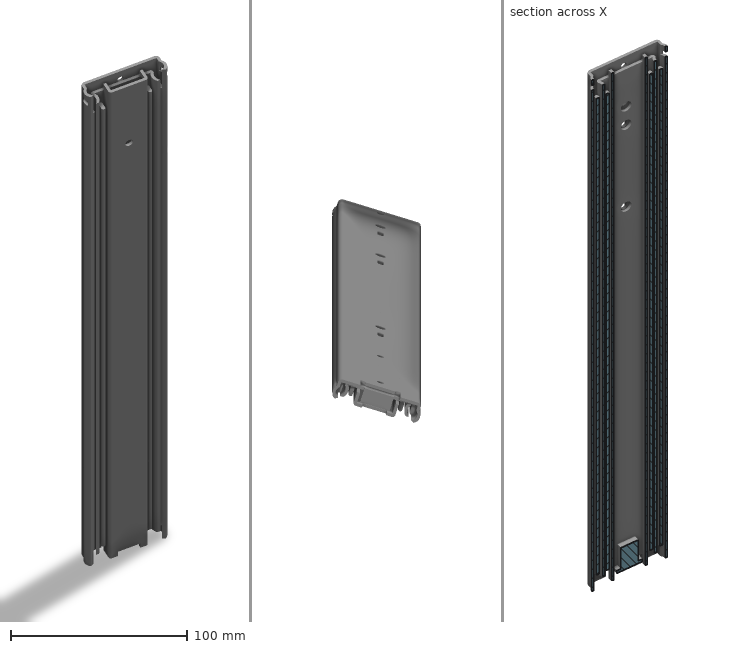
import cadquery as cq


length = 400.0
depth = 13.0
half_width = 26.0
sheet = 1.8

race_bulge = 1.4
wall_y = half_width - race_bulge
corner_radius = 2.5
race_start_x = 5.0
race_mid_x = 8.0
race_end_x = 12.0
lip_y = 23.5

group_heights = (365.0, 301.0, 141.0)
round_hole_diameter = 6.0
slot_drop = 16.0
slot_width = 3.5
slot_length = 8.5
pilot_heights = (393.0, 77.0, 19.5)
pilot_diameter = 4.0

window_bottom = 392.0
window_height = 3.5
window_end_x = 11.0

notch_half_width = 12.0
notch_height = 9.0
relief_radius = 1.5

middle_bottom = 7.5
middle_top = 392.5
middle_x = 2.5
middle_y = 19.5
middle_corner_radius = 1.5
race_hollow = 1.0
middle_race_y = middle_y - race_hollow
middle_lip_x = 11.5
middle_lip_y = 20.5
middle_bevel = 1.4
middle_hole_heights = (363.0, 349.0, 285.0)
middle_hole_diameter = 7.0

inner_bottom = 1.0
inner_top = 398.5
inner_x = 5.0
inner_y = 12.5
inner_radius = 1.5
inner_hole_height = 350.0
inner_hole_diameter = 5.0
inner_notch_half_width = 7.0
inner_notch_height = 5.0

retainer_bottom = 11.0
retainer_top = 384.0
retainer_span = 5.5
retainer_thickness = 2.5
outer_retainer_y = 21.5
inner_retainer_y = 15.0

stop_bottom = 5.0
stop_top = 24.0
stop_base_half_width = 9.0
stop_half_width = 6.0
stop_end_x = 11.0


def box(x_range, y_range, z_range):
    """Axis-aligned block from three (low, high) pairs."""
    sizes = [high - low for low, high in (x_range, y_range, z_range)]
    corner = (x_range[0], y_range[0], z_range[0])
    return cq.Workplane("XY").box(*sizes, centered=False).translate(corner)


def extrude_mirrored(half_profile, bottom, top):
    """Extrude a +Y half profile from bottom to top and join its mirror image."""
    half = half_profile.close().extrude(top - bottom).translate((0, 0, bottom))
    return half.union(half.mirror("XZ")).clean()


def web_hole(diameter, height):
    """Round cutter along X through the full depth of the slide."""
    return cq.Workplane("YZ").center(0, height).circle(diameter / 2).extrude(depth)


def web_slot(height):
    """Upright slot cutter along X."""
    return cq.Workplane("YZ").center(0, height).slot2D(slot_length, slot_width, 90).extrude(sheet)


def outer_profile():
    """Half of the outer channel: web, side wall and outward bulging ball race."""
    bend = corner_radius * (1 - 0.5**0.5)
    return (
        cq.Workplane("XY")
        .lineTo(0, wall_y - corner_radius)
        .threePointArc((bend, wall_y - bend), (corner_radius, wall_y))
        .lineTo(race_start_x, wall_y)
        .threePointArc((race_mid_x, half_width), (race_end_x, lip_y))
        .lineTo(race_end_x - sheet / 2, lip_y - sheet)
        .threePointArc((race_mid_x, half_width - sheet), (race_start_x, wall_y - sheet))
        .lineTo(sheet, wall_y - sheet)
        .lineTo(sheet, 0)
    )


def release_notch():
    """End notch with round reliefs at its two upper corners."""
    notch = box((0, sheet), (-notch_half_width, notch_half_width), (0, notch_height))
    for side in (-1, 1):
        relief_y = side * (notch_half_width - relief_radius)
        relief = cq.Workplane("YZ").center(relief_y, notch_height).circle(relief_radius).extrude(sheet)
        notch = notch.union(relief)
    return notch


def wall_windows():
    """Cutter that opens both ball races, passing beyond the sides of the slide."""
    return box(
        (race_start_x, window_end_x),
        (-2 * half_width, 2 * half_width),
        (window_bottom, window_bottom + window_height),
    )


def make_outer_member():
    member = extrude_mirrored(outer_profile(), 0, length)
    for height in group_heights:
        member = member.cut(web_hole(round_hole_diameter, height))
        member = member.cut(web_slot(height - slot_drop))
    for height in pilot_heights:
        member = member.cut(web_hole(pilot_diameter, height))
    return member.cut(wall_windows()).cut(release_notch())


def middle_profile():
    """Half of the middle channel: web and flange with a hollow ball race on the outside."""
    bend = middle_corner_radius * (1 - 0.5**0.5)
    corner_end_x = middle_x + middle_corner_radius
    web_inside_x = middle_x + sheet
    return (
        cq.Workplane("XY")
        .moveTo(middle_x, 0)
        .lineTo(middle_x, middle_y - middle_corner_radius)
        .threePointArc((middle_x + bend, middle_y - bend), (corner_end_x, middle_y))
        .lineTo(race_start_x, middle_y)
        .threePointArc((race_mid_x, middle_race_y), (middle_lip_x, middle_lip_y))
        .lineTo(middle_lip_x, middle_lip_y - sheet)
        .threePointArc((race_mid_x, middle_race_y - sheet), (web_inside_x, middle_y - sheet))
        .lineTo(web_inside_x, 0)
    )


def make_middle_member():
    member = extrude_mirrored(middle_profile(), middle_bottom, middle_top)
    for height in middle_hole_heights:
        member = member.cut(web_hole(middle_hole_diameter, height))
    bevel = (
        cq.Workplane("XZ", origin=(middle_x, stop_base_half_width, middle_bottom))
        .lineTo(middle_bevel, 0)
        .lineTo(0, middle_bevel)
        .close()
        .extrude(2 * stop_base_half_width)
    )
    return member.cut(bevel)


def inner_profile():
    """Half of the inner channel, which opens toward the other members."""
    bend = inner_radius * (1 - 0.5**0.5)
    return (
        cq.Workplane("XY")
        .moveTo(depth, 0)
        .lineTo(depth, inner_y - inner_radius)
        .threePointArc((depth - bend, inner_y - bend), (depth - inner_radius, inner_y))
        .lineTo(inner_x, inner_y)
        .lineTo(inner_x, inner_y - sheet)
        .lineTo(depth - sheet, inner_y - sheet)
        .lineTo(depth - sheet, 0)
    )


def make_inner_member():
    member = extrude_mirrored(inner_profile(), inner_bottom, inner_top)
    notch = box(
        (depth - sheet, depth),
        (-inner_notch_half_width, inner_notch_half_width),
        (inner_bottom, inner_notch_height),
    )
    return member.cut(web_hole(inner_hole_diameter, inner_hole_height)).cut(notch)


def make_retainer(center_y):
    """Round-edged strip running in the gap between two ball races."""
    return (
        cq.Workplane("XY", origin=(race_mid_x, center_y, retainer_bottom))
        .slot2D(retainer_span, retainer_thickness)
        .extrude(retainer_top - retainer_bottom)
    )


def make_stop_block():
    """Base under the end of the middle web, with a narrower block rising inside the channel."""
    base = box(
        (middle_x, stop_end_x),
        (-stop_base_half_width, stop_base_half_width),
        (stop_bottom, middle_bottom),
    )
    block = box(
        (middle_x + sheet, stop_end_x),
        (-stop_half_width, stop_half_width),
        (middle_bottom, stop_top),
    )
    return base.union(block)


outer_member = make_outer_member()
middle_member = make_middle_member()
inner_member = make_inner_member()
stop_block = make_stop_block()

retainers = []
for distance in (outer_retainer_y, inner_retainer_y):
    for side in (-1, 1):
        retainers.append(make_retainer(side * distance).val())

result = cq.Compound.makeCompound(
    [outer_member.val(), middle_member.val(), inner_member.val(), stop_block.val(), *retainers]
)